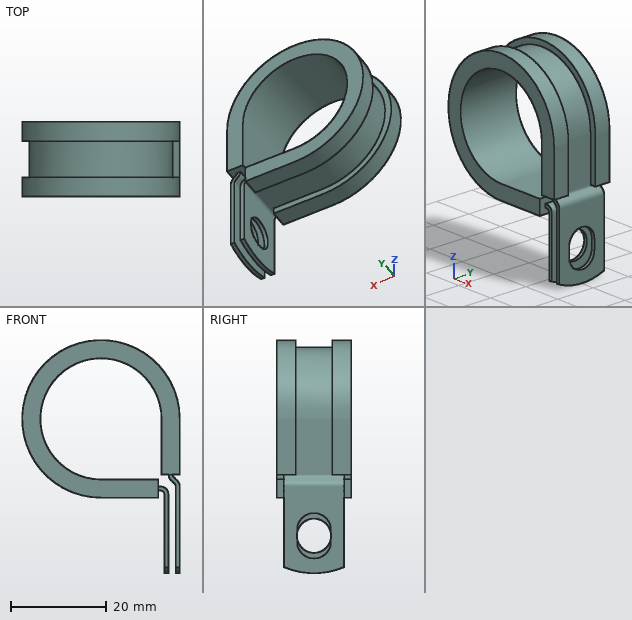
import cadquery as cq
import math


strap_thickness = 0.89
strap_width = 12.7
cushion_wall = 1.49
cushion_width = 15.75
groove_width = 7.6

bore_radius = 12.7
strap_inner_radius = bore_radius + cushion_wall
strap_outer_radius = strap_inner_radius + strap_thickness
strap_mid_radius = (strap_inner_radius + strap_outer_radius) / 2
outer_radius = strap_outer_radius + cushion_wall
lower_leg_end = 12.07
side_leg_end = -11.7

overall_height = 49.02
tab_tip = outer_radius - overall_height
tab_tip_radius = 16.0
tab_hole_diameter = 7.14
tab_slot_length = 9.54
tab_hole_z = -24.55
bend_inner_radius = 0.76
bend_radius = bend_inner_radius + strap_thickness / 2
tab_embed = 1.0
inner_tab_x = strap_inner_radius - strap_thickness / 2
outer_tab_x = outer_radius - strap_thickness / 2
jog_angle = math.radians(45)


def loop_profile(radius):
    """Teardrop outline: three-quarter circle closed by a square lower corner."""
    diagonal = radius * math.sqrt(0.5)
    return (
        cq.Workplane("XZ")
        .moveTo(radius, 0)
        .threePointArc((-diagonal, diagonal), (0, -radius))
        .lineTo(radius, -radius)
        .close()
    )


def loop_band(inner_radius, band_outer_radius, width):
    """Band of the given width between two concentric teardrop outlines."""
    outside = loop_profile(band_outer_radius).extrude(width / 2, both=True)
    inside = loop_profile(inner_radius).extrude(width / 2, both=True)
    return outside.cut(inside)


def corner_gap():
    """Block removing the corner of the loop between the ends of the two legs."""
    size = 2 * outer_radius
    return (
        cq.Workplane("XY")
        .box(size, size, size, centered=(False, True, False))
        .translate((lower_leg_end, 0, side_leg_end - size))
    )


def make_cushion():
    """Cushion with the outer channel running the full length of the loop."""
    body = loop_band(bore_radius, outer_radius, cushion_width)
    groove = loop_band(strap_outer_radius, outer_radius, groove_width)
    return body.cut(groove).cut(corner_gap())


def sweep_strap(path, start_plane):
    """Strap section swept along its centre line."""
    along_x = start_plane == "YZ"
    section_size = (strap_width, strap_thickness) if along_x else (strap_thickness, strap_width)
    start = path.val().startPoint().toTuple()
    return cq.Workplane(start_plane, origin=start).rect(*section_size).sweep(path)


def make_inner_tab():
    """Tab leaving the horizontal leg and turning down through 90 degrees."""
    bend_x = inner_tab_x - bend_radius
    bend_z = -strap_mid_radius - bend_radius
    arc_mid = (
        bend_x + bend_radius * math.sqrt(0.5),
        bend_z + bend_radius * math.sqrt(0.5),
    )
    path = (
        cq.Workplane("XZ")
        .moveTo(lower_leg_end - tab_embed, -strap_mid_radius)
        .lineTo(bend_x, -strap_mid_radius)
        .threePointArc(arc_mid, (inner_tab_x, bend_z))
        .lineTo(inner_tab_x, tab_tip)
        .wire()
    )
    return sweep_strap(path, "YZ")


def make_outer_tab():
    """Tab leaving the vertical leg and jogging outward before running down."""
    arc_out = bend_radius * (1 - math.cos(jog_angle))
    arc_drop = bend_radius * math.sin(jog_angle)
    half_arc_out = bend_radius * (1 - math.cos(jog_angle / 2))
    half_arc_drop = bend_radius * math.sin(jog_angle / 2)
    slope_out = outer_tab_x - strap_mid_radius - 2 * arc_out
    slope_drop = slope_out / math.tan(jog_angle)
    jog_end = side_leg_end - 2 * arc_drop - slope_drop

    path = (
        cq.Workplane("XZ")
        .moveTo(strap_mid_radius, side_leg_end + tab_embed)
        .lineTo(strap_mid_radius, side_leg_end)
        .threePointArc(
            (strap_mid_radius + half_arc_out, side_leg_end - half_arc_drop),
            (strap_mid_radius + arc_out, side_leg_end - arc_drop),
        )
        .lineTo(outer_tab_x - arc_out, jog_end + arc_drop)
        .threePointArc(
            (outer_tab_x - half_arc_out, jog_end + half_arc_drop),
            (outer_tab_x, jog_end),
        )
        .lineTo(outer_tab_x, tab_tip)
        .wire()
    )
    return sweep_strap(path, "XY")


def tab_outline():
    """Prism along X with the width and the rounded tip shared by both tabs."""
    half_width = strap_width / 2
    tip_height = tab_tip_radius - math.sqrt(tab_tip_radius**2 - half_width**2)
    return (
        cq.Workplane("YZ")
        .moveTo(-half_width, 0)
        .lineTo(-half_width, tab_tip + tip_height)
        .threePointArc((0, tab_tip), (half_width, tab_tip + tip_height))
        .lineTo(half_width, 0)
        .close()
        .extrude(2 * outer_radius)
    )


def bolt_hole_plane(tab_x):
    """Workplane at the bolt centre on the middle surface of a tab."""
    return cq.Workplane("YZ", origin=(tab_x, 0, tab_hole_z))


def make_tabs():
    """Both tabs: a round hole in the inner one, a vertical slot in the outer one."""
    hole = (
        bolt_hole_plane(inner_tab_x)
        .circle(tab_hole_diameter / 2)
        .extrude(strap_thickness, both=True)
    )
    slot = (
        bolt_hole_plane(outer_tab_x)
        .slot2D(tab_slot_length, tab_hole_diameter, angle=90)
        .extrude(strap_thickness, both=True)
    )
    inner_tab = make_inner_tab().intersect(tab_outline()).cut(hole)
    outer_tab = make_outer_tab().intersect(tab_outline()).cut(slot)
    return inner_tab.union(outer_tab)


result = make_cushion().union(make_tabs())